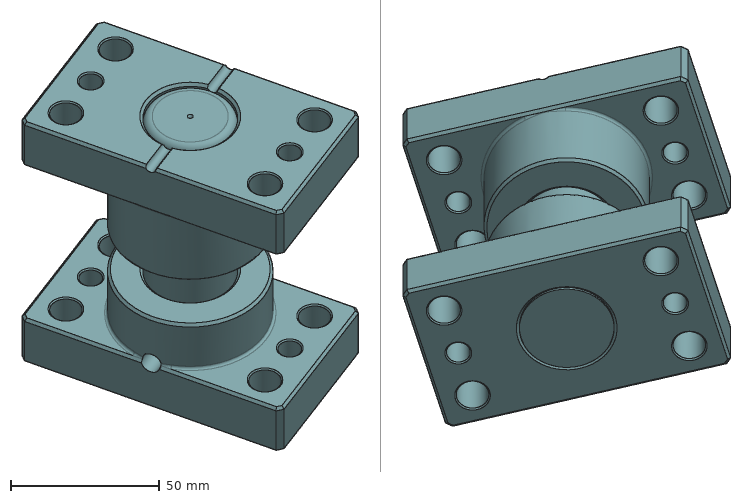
import cadquery as cq

total_height = 110.1

plate_length = 100.0
plate_width = 58.0
plate_thickness = 20.0
corner_chamfer = 2.0
edge_chamfer = 1.0

boss_diameter = 55.9
lower_boss_height = 20.0
upper_boss_height = 30.0
boss_root_fillet = 1.0

pillar_diameter = 32.0
pillar_end_radius = 3.2
centre_hole_diameter = 2.0
centre_hole_depth = 1.0

screw_hole_diameter = 11.0
dowel_hole_diameter = 8.0
hole_spacing_x = 76.0
screw_spacing_y = 36.0
hole_chamfer = 0.5

vent_groove_radius = 2.0
side_hole_diameter = 7.0
pillar_groove_depth = 1.0


def make_plate():
    """Plate standing on z = 0, with chamfered corners and chamfered outer edges."""
    plate = cq.Workplane("XY").rect(plate_length, plate_width).extrude(plate_thickness)
    return plate.edges("|Z").chamfer(corner_chamfer).faces("<Z or >Z").chamfer(edge_chamfer)


def add_boss(plate, height):
    """Add a round boss with a chamfered free end and a fillet where it meets the plate."""
    boss = (
        cq.Workplane("XY")
        .circle(boss_diameter / 2)
        .extrude(plate_thickness + height)
        .faces(">Z")
        .chamfer(edge_chamfer)
    )
    flanged = plate.union(boss)
    plate_top = flanged.faces("|Z").faces(">Z[-2]")
    return plate_top.edges("%CIRCLE").fillet(boss_root_fillet)


def chamfered_hole(diameter, chamfer, depth):
    """Cutter for a hole from z = 0 to depth, widened by a chamfer at both ends."""
    radius = diameter / 2
    return (
        cq.Workplane("XZ")
        .lineTo(radius + chamfer, 0)
        .lineTo(radius, chamfer)
        .lineTo(radius, depth - chamfer)
        .lineTo(radius + chamfer, depth)
        .lineTo(0, depth)
        .close()
        .revolve(360, (0, 0, 0), (0, 1, 0))
    )


def make_flanged_block(boss_height):
    """Plate and boss in one piece, bored for the pillar and drilled for screws and dowels."""
    block = add_boss(make_plate(), boss_height)
    block = block.cut(chamfered_hole(pillar_diameter, edge_chamfer, plate_thickness + boss_height))
    screw_hole = chamfered_hole(screw_hole_diameter, hole_chamfer, plate_thickness)
    dowel_hole = chamfered_hole(dowel_hole_diameter, hole_chamfer, plate_thickness)
    for x in (-hole_spacing_x / 2, hole_spacing_x / 2):
        block = block.cut(dowel_hole.translate((x, 0, 0)))
        for y in (-screw_spacing_y / 2, screw_spacing_y / 2):
            block = block.cut(screw_hole.translate((x, y, 0)))
    return block


def make_lower_block():
    """Block on the floor, with a side hole from the -Y side to the pillar bore at the plate's top face."""
    side_hole = (
        cq.Workplane("XZ", origin=(0, 0, plate_thickness))
        .circle(side_hole_diameter / 2)
        .extrude(plate_width / 2)
    )
    return make_flanged_block(lower_boss_height).cut(side_hole)


def make_upper_block():
    """Block turned upside down at the top, with a half-round vent groove across its top face."""
    block = make_flanged_block(upper_boss_height).rotate((0, 0, 0), (1, 0, 0), 180)
    block = block.translate((0, 0, total_height))
    vent_groove = (
        cq.Workplane("XZ", origin=(0, plate_width / 2, total_height))
        .moveTo(-vent_groove_radius, 0)
        .radiusArc((vent_groove_radius, 0), -vent_groove_radius)
        .close()
        .extrude(plate_width)
    )
    return block.cut(vent_groove)


def make_pillar_groove():
    """Cutter for the 45-degree sided ring groove in the pillar that the side hole opens onto."""
    outer_radius = pillar_diameter / 2
    floor_radius = outer_radius - pillar_groove_depth
    mouth_half_height = side_hole_diameter / 2
    floor_half_height = mouth_half_height - pillar_groove_depth
    return (
        cq.Workplane("XZ")
        .moveTo(outer_radius, plate_thickness - mouth_half_height)
        .lineTo(floor_radius, plate_thickness - floor_half_height)
        .lineTo(floor_radius, plate_thickness + floor_half_height)
        .lineTo(outer_radius, plate_thickness + mouth_half_height)
        .close()
        .revolve(360, (0, 0, 0), (0, 1, 0))
    )


def make_pillar():
    """Guide pillar through both blocks, rounded at the top and with a small conical centre hole."""
    pillar = cq.Workplane("XY").circle(pillar_diameter / 2).extrude(total_height)
    pillar = pillar.faces(">Z").edges().fillet(pillar_end_radius)
    centre_hole = cq.Solid.makeCone(
        0,
        centre_hole_diameter / 2,
        centre_hole_depth,
        pnt=cq.Vector(0, 0, total_height - centre_hole_depth),
    )
    return pillar.cut(cq.Workplane(centre_hole)).cut(make_pillar_groove())


lower_block = make_lower_block().solids()
upper_block = make_upper_block().solids()
pillar = make_pillar().solids()

result = cq.Compound.makeCompound([lower_block.val(), upper_block.val(), pillar.val()])